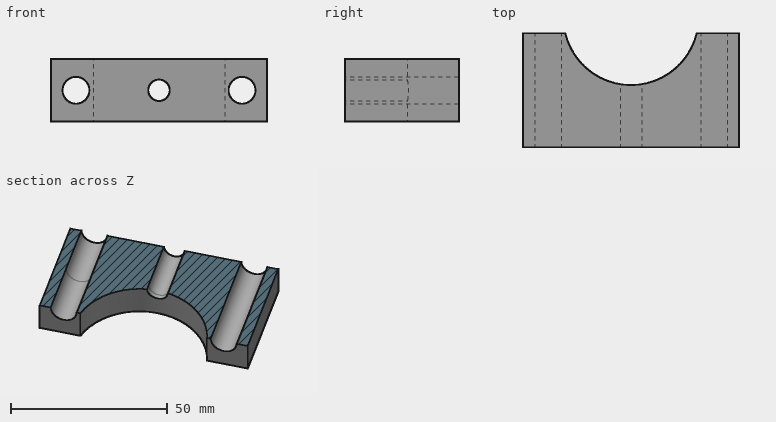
import cadquery as cq

length = 69.0
depth = 36.5
height = 20.0

saddle_radius = 21.5
saddle_axis_offset = 5.0

bolt_hole_diameter = 8.5
bolt_hole_spacing = 53.0
center_hole_diameter = 6.75


def hole_along_y(x, diameter):
    """Cylinder along the full depth of the block, at mid height."""
    return cq.Workplane("XZ").center(x, 0).circle(diameter / 2).extrude(depth / 2, both=True)


block = cq.Workplane("XY").box(length, depth, height)

saddle_axis_y = depth / 2 + saddle_axis_offset
saddle = (
    cq.Workplane("XY")
    .center(0, saddle_axis_y)
    .circle(saddle_radius)
    .extrude(height / 2, both=True)
)

result = block.cut(saddle)
result = result.cut(hole_along_y(0, center_hole_diameter))
for side in (-1, 1):
    result = result.cut(hole_along_y(side * bolt_hole_spacing / 2, bolt_hole_diameter))